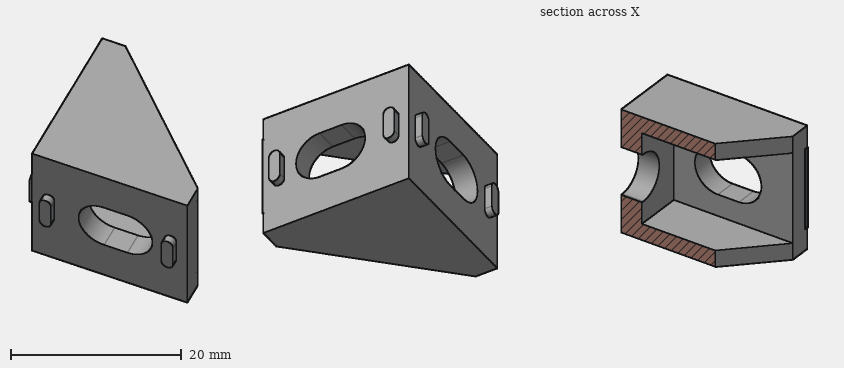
import cadquery as cq

leg_length = 20.0
height = 17.0
wall_thickness = 3.0
web_thickness = 2.3
mid_height = height / 2

slot_length = 9.5
slot_width = 6.5
slot_position = 10.75

peg_width = 1.5
peg_length = 4.5
peg_protrusion = 1.0
first_peg_inset = 2.15
peg_positions = (first_peg_inset, leg_length - first_peg_inset)

strip_width = 0.5
strip_length = 11.0
strip_thickness = 0.1


def make_body():
    """Solid corner block with its diagonal running between the two wall ends."""
    outline = [
        (0, 0),
        (leg_length, 0),
        (leg_length, wall_thickness),
        (wall_thickness, leg_length),
        (0, leg_length),
    ]
    return cq.Workplane("XY").polyline(outline).close().extrude(height)


def make_cavity():
    """Triangular space between the walls and webs, open along the diagonal."""
    corners = [
        (wall_thickness, wall_thickness),
        (leg_length, wall_thickness),
        (wall_thickness, leg_length),
    ]
    cavity_height = height - 2 * web_thickness
    return (
        cq.Workplane("XY")
        .workplane(offset=web_thickness)
        .polyline(corners)
        .close()
        .extrude(cavity_height)
    )


def make_front_slot():
    """Slot through the wall on the -Y side."""
    return (
        cq.Workplane("XZ")
        .center(slot_position, mid_height)
        .slot2D(slot_length, slot_width)
        .extrude(-wall_thickness)
    )


def make_front_pegs():
    """Upright pegs standing out from the -Y face."""
    return (
        cq.Workplane("XZ")
        .pushPoints([(position, mid_height) for position in peg_positions])
        .slot2D(peg_length, peg_width, angle=90)
        .extrude(peg_protrusion)
    )


def mirror_to_left_wall(front_feature):
    """Swap X and Y, carrying a feature of the -Y wall over to the -X wall."""
    return front_feature.mirror("YZ").rotate((0, 0, 0), (0, 0, 1), -90)


def make_end_strip():
    """Raised strip on the +Y end face."""
    return cq.Workplane("XY").box(
        strip_width, strip_thickness, strip_length, centered=(False, False, True)
    ).translate((0, leg_length, mid_height))


front_slot = make_front_slot()
front_pegs = make_front_pegs()

result = make_body().cut(make_cavity())
result = result.cut(front_slot).cut(mirror_to_left_wall(front_slot))
result = result.union(front_pegs).union(mirror_to_left_wall(front_pegs))
result = result.union(make_end_strip())